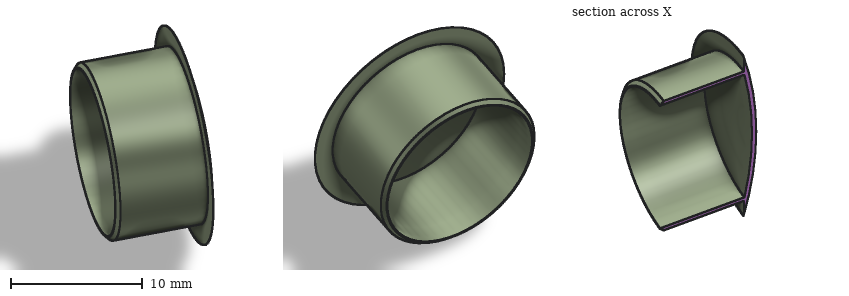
import cadquery as cq
import math

cap_radius = 8.5
dome_height = 1.1
total_length = 8.3
tube_radius = 6.9
bore_radius = 6.5
dome_thickness = 0.4
chamfer_width = 0.34
chamfer_length = 0.3

tube_length = total_length - dome_height

dome_radius = (cap_radius**2 + dome_height**2) / (2 * dome_height)
dome_center_y = dome_height - dome_radius
inner_dome_radius = dome_radius - dome_thickness


def sphere_point(sphere_radius, radius):
    """Point of a dome face at the given distance from the axis."""
    return (radius, dome_center_y + math.sqrt(sphere_radius**2 - radius**2))


half_section = (
    cq.Workplane("XY")
    .moveTo(*sphere_point(dome_radius, 0))
    .threePointArc(sphere_point(dome_radius, cap_radius / 2), (cap_radius, 0))
    .lineTo(tube_radius, 0)
    .lineTo(tube_radius, chamfer_length - tube_length)
    .lineTo(tube_radius - chamfer_width, -tube_length)
    .lineTo(bore_radius, -tube_length)
    .lineTo(*sphere_point(inner_dome_radius, bore_radius))
    .threePointArc(
        sphere_point(inner_dome_radius, bore_radius / 2),
        sphere_point(inner_dome_radius, 0),
    )
    .close()
)

result = half_section.revolve(360, (0, 0, 0), (0, 1, 0))